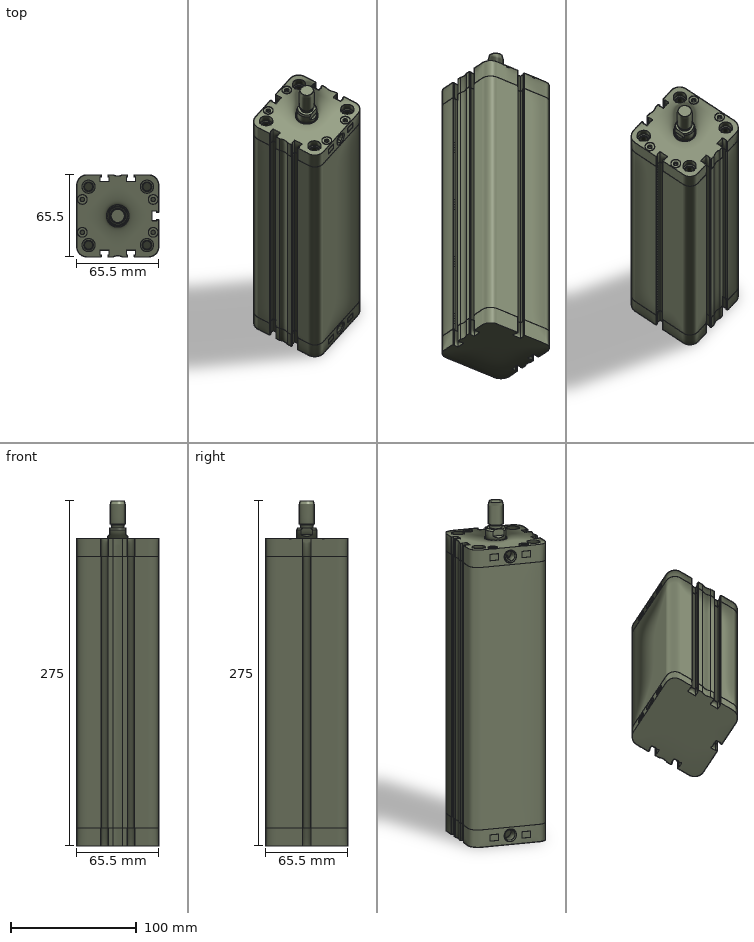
import cadquery as cq


WIDTH = 65.5
TOTAL_LENGTH = 275.0
ROD_PROJECTION = 30.0
CAP_LENGTH = 14.4
CORNER_RADIUS = 8.3
BORE_DIAMETER = 50.0

FACE = WIDTH / 2
HOUSING_LENGTH = TOTAL_LENGTH - ROD_PROJECTION
FRONT_CAP_BASE = HOUSING_LENGTH - CAP_LENGTH
BARREL_LENGTH = HOUSING_LENGTH - 2 * CAP_LENGTH

SLOT_OFFSET = 10.5
SLOT_NECK_WIDTH = 5.2
SLOT_WIDTH = 7.0
SLOT_LIP = 1.7
SLOT_DEPTH = 5.25
SIDE_SLOT_NECK_WIDTH = 5.8
SIDE_SLOT_WIDTH = 7.5
SIDE_SLOT_DEPTH = 5.4
SLOT_MOUTH_CHAMFER = 0.3
CAP_NECK_CLEARANCE = 0.6
CAP_FLOOR_CLEARANCE = 0.25
GROOVE_WIDTH = 7.5
GROOVE_DEPTH = 0.9

MOUNT_PITCH = 46.5
MOUNT_BORE_DIAMETER = 10.5
MOUNT_BORE_DEPTH = 5.6
MOUNT_THREAD_DIAMETER = 6.65
MOUNT_SINK_DIAMETER = 7.7

SCREW_X = 28.2
SCREW_Y = 13.1
SCREW_RECESS_DIAMETER = 7.7
SCREW_RECESS_DEPTH = 0.5
SCREW_SOCKET_DIAMETER = 3.5
SCREW_SOCKET_DEPTH = 3.0

PORT_EDGE_DISTANCE = 7.7
PORT_MOUTH_DIAMETER = 10.5
PORT_DIAMETER = 8.57
PORT_DEPTH = 10.0
AIR_PASSAGE_DIAMETER = 3.5
AIR_PASSAGE_DROP = 2.9
AIR_PASSAGE_LENGTH = 13.0

LABEL_OFFSET = 13.6
LABEL_WIDTH = 7.0
LABEL_HEIGHT = 5.2
LABEL_DEPTH = 0.2
LABEL_EDGE_DISTANCE = 7.0

ROD_DIAMETER = 16.0
ROD_SHOULDER_HEIGHT = 8.4
SHOULDER_CHAMFER = 0.75
SHOULDER_CHAMFER_LENGTH = 1.6
FLAT_WIDTH = 13.0
FLAT_BASE_HEIGHT = 3.1
THREAD_DIAMETER = 12.0
THREAD_TIP_DIAMETER = 10.5
THREAD_TIP_LENGTH = 2.9
UNDERCUT_DIAMETER = 10.0
UNDERCUT_LENGTH = 2.2
UNDERCUT_TAPER = 1.0

SEAT_DIAMETER = 18.0
SEAT_DEPTH = 0.8


def slot_cutter(neck_width, width, depth, length):
    """T-slot with a chamfered mouth, opening toward -Y."""
    neck = neck_width / 2
    half = width / 2
    mouth = neck + SLOT_MOUTH_CHAMFER
    lip = SLOT_LIP - FACE
    return (
        cq.Workplane("XY")
        .moveTo(-mouth, -FACE)
        .lineTo(-neck, SLOT_MOUTH_CHAMFER - FACE)
        .lineTo(-neck, lip)
        .lineTo(-half, lip)
        .lineTo(-half, depth - FACE)
        .lineTo(half, depth - FACE)
        .lineTo(half, lip)
        .lineTo(neck, lip)
        .lineTo(neck, SLOT_MOUTH_CHAMFER - FACE)
        .lineTo(mouth, -FACE)
        .close()
        .extrude(length)
    )


def groove_cutter(length):
    """Cylinder that cuts the shallow round groove in the middle of the -Y face."""
    radius = ((GROOVE_WIDTH / 2) ** 2 + GROOVE_DEPTH**2) / (2 * GROOVE_DEPTH)
    centre_y = GROOVE_DEPTH - FACE - radius
    return cq.Workplane("XY").center(0, centre_y).circle(radius).extrude(length)


def profile(length, neck_clearance=0.0, floor_clearance=0.0):
    """Rounded square block with the slots and grooves running along its length."""
    block = cq.Workplane("XY").rect(WIDTH, WIDTH).extrude(length)
    block = block.edges("|Z").fillet(CORNER_RADIUS)
    slot = slot_cutter(
        SLOT_NECK_WIDTH + neck_clearance, SLOT_WIDTH, SLOT_DEPTH + floor_clearance, length
    )
    groove = groove_cutter(length)
    for turn in (0, 180):
        for offset in (-SLOT_OFFSET, SLOT_OFFSET):
            placed = slot.translate((offset, 0, 0)).rotate((0, 0, 0), (0, 0, 1), turn)
            block = block.cut(placed)
        block = block.cut(groove.rotate((0, 0, 0), (0, 0, 1), turn))
    side_slot = slot_cutter(
        SIDE_SLOT_NECK_WIDTH + neck_clearance,
        SIDE_SLOT_WIDTH,
        SIDE_SLOT_DEPTH + floor_clearance,
        length,
    )
    return block.cut(side_slot.rotate((0, 0, 0), (0, 0, 1), 90))


def hole_down(x, y, top, diameter, depth):
    return cq.Workplane("XY", origin=(x, y, top)).circle(diameter / 2).extrude(-depth)


def cone_down(x, y, top, top_diameter, bottom_diameter, depth):
    cone = cq.Solid.makeCone(
        top_diameter / 2, bottom_diameter / 2, depth, cq.Vector(x, y, top), cq.Vector(0, 0, -1)
    )
    return cq.Workplane(obj=cone)


def cut_port(cap, height):
    """Air port with a chamfered mouth in the -X side."""
    chamfer = (PORT_MOUTH_DIAMETER - PORT_DIAMETER) / 2
    face_point = cq.Vector(-FACE, 0, height)
    inward = cq.Vector(1, 0, 0)
    bore = cq.Solid.makeCylinder(PORT_DIAMETER / 2, PORT_DEPTH, face_point, inward)
    mouth = cq.Solid.makeCone(
        PORT_MOUTH_DIAMETER / 2, PORT_DIAMETER / 2, chamfer, face_point, inward
    )
    return cap.cut(cq.Workplane(obj=bore)).cut(cq.Workplane(obj=mouth))


def cut_labels(cap, height):
    """Two shallow label recesses, one on each side of the port."""
    for side in (-1, 1):
        label = (
            cq.Workplane("XY")
            .box(2 * LABEL_DEPTH, LABEL_WIDTH, LABEL_HEIGHT)
            .translate((-FACE, side * LABEL_OFFSET, height))
        )
        cap = cap.cut(label)
    return cap


def make_rear_cap():
    cap = profile(CAP_LENGTH, CAP_NECK_CLEARANCE, CAP_FLOOR_CLEARANCE)
    cap = cut_port(cap, PORT_EDGE_DISTANCE)
    return cut_labels(cap, LABEL_EDGE_DISTANCE)


def make_barrel():
    tube = profile(BARREL_LENGTH).translate((0, 0, CAP_LENGTH))
    bore = cq.Workplane("XY").circle(BORE_DIAMETER / 2).extrude(HOUSING_LENGTH)
    return tube.cut(bore)


def cut_mount_holes(cap):
    floor = HOUSING_LENGTH - MOUNT_BORE_DEPTH
    sink_depth = (MOUNT_SINK_DIAMETER - MOUNT_THREAD_DIAMETER) / 2
    for x in (-MOUNT_PITCH / 2, MOUNT_PITCH / 2):
        for y in (-MOUNT_PITCH / 2, MOUNT_PITCH / 2):
            cap = cap.cut(hole_down(x, y, HOUSING_LENGTH, MOUNT_BORE_DIAMETER, MOUNT_BORE_DEPTH))
            cap = cap.cut(hole_down(x, y, HOUSING_LENGTH, MOUNT_THREAD_DIAMETER, CAP_LENGTH))
            cap = cap.cut(
                cone_down(x, y, floor, MOUNT_SINK_DIAMETER, MOUNT_THREAD_DIAMETER, sink_depth)
            )
    return cap


def cut_screw_heads(cap):
    top = HOUSING_LENGTH
    for x in (-SCREW_X, SCREW_X):
        for y in (-SCREW_Y, SCREW_Y):
            cap = cap.cut(hole_down(x, y, top, SCREW_RECESS_DIAMETER, SCREW_RECESS_DEPTH))
            cap = cap.cut(hole_down(x, y, top, SCREW_SOCKET_DIAMETER, SCREW_SOCKET_DEPTH))
    return cap


def make_front_cap():
    cap = profile(CAP_LENGTH, CAP_NECK_CLEARANCE, CAP_FLOOR_CLEARANCE).translate((0, 0, FRONT_CAP_BASE))
    cap = cut_mount_holes(cap)
    cap = cut_screw_heads(cap)
    cap = cap.cut(hole_down(0, 0, HOUSING_LENGTH, ROD_DIAMETER, CAP_LENGTH))
    cap = cap.cut(hole_down(0, 0, HOUSING_LENGTH, SEAT_DIAMETER, SEAT_DEPTH))
    port_height = HOUSING_LENGTH - PORT_EDGE_DISTANCE
    cap = cut_port(cap, port_height)
    passage = cq.Solid.makeCylinder(
        AIR_PASSAGE_DIAMETER / 2,
        AIR_PASSAGE_LENGTH,
        cq.Vector(-FACE, 0, port_height - AIR_PASSAGE_DROP),
        cq.Vector(1, 0, 0),
    )
    cap = cap.cut(cq.Workplane(obj=passage))
    return cut_labels(cap, HOUSING_LENGTH - LABEL_EDGE_DISTANCE)


def make_rod():
    """Plain rod resting on the rear cap, with a flatted shoulder and a threaded tip."""
    rod_radius = ROD_DIAMETER / 2
    shoulder = HOUSING_LENGTH + ROD_SHOULDER_HEIGHT
    undercut_top = shoulder + UNDERCUT_LENGTH
    thread_base = undercut_top + UNDERCUT_TAPER
    rod = (
        cq.Workplane("XZ")
        .moveTo(0, CAP_LENGTH)
        .lineTo(rod_radius, CAP_LENGTH)
        .lineTo(rod_radius, shoulder - SHOULDER_CHAMFER_LENGTH)
        .lineTo(rod_radius - SHOULDER_CHAMFER, shoulder)
        .lineTo(UNDERCUT_DIAMETER / 2, shoulder)
        .lineTo(UNDERCUT_DIAMETER / 2, undercut_top)
        .lineTo(THREAD_DIAMETER / 2, thread_base)
        .lineTo(THREAD_DIAMETER / 2, TOTAL_LENGTH - THREAD_TIP_LENGTH)
        .lineTo(THREAD_TIP_DIAMETER / 2, TOTAL_LENGTH)
        .lineTo(0, TOTAL_LENGTH)
        .close()
        .revolve(360, (0, 0, 0), (0, 1, 0))
    )
    flat_base = HOUSING_LENGTH + FLAT_BASE_HEIGHT
    half_flat = FLAT_WIDTH / 2
    runout = rod_radius - half_flat
    for side in (-1, 1):
        flat = (
            cq.Workplane("XZ")
            .moveTo(side * half_flat, shoulder)
            .lineTo(side * half_flat, flat_base)
            .lineTo(side * rod_radius, flat_base - runout)
            .lineTo(side * rod_radius, shoulder)
            .close()
            .extrude(rod_radius, both=True)
        )
        rod = rod.cut(flat)
    return rod


rear_cap = make_rear_cap()
barrel = make_barrel()
front_cap = make_front_cap()
rod = make_rod()

result = cq.Compound.makeCompound([rear_cap.val(), barrel.val(), front_cap.val(), rod.val()])